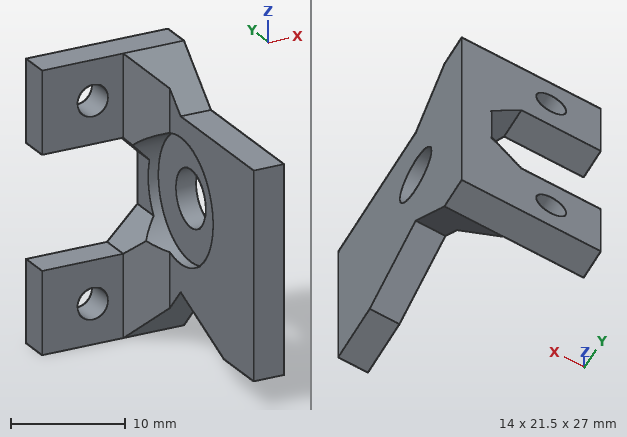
import cadquery as cq

width = 14.0
depth = 21.5
height = 27.0
thickness = 3.0
gusset = 3.0

wall_inner_x = width - thickness
plate_front_y = depth - thickness
mid_z = height / 2

axis_setback = 8.0
axis_y = depth - axis_setback
axis_z = 14.33
bore_diameter = 5.5
seat_diameter = 12.0
seat_depth = 1.0

wall_rise = 8.0
wall_drop = 12.0
notch_drop = 8.68
notch_length = 8.0
wall_top_z = axis_z + wall_rise
wall_bottom_z = axis_z - wall_drop
notch_z = axis_z - notch_drop
notch_end_y = axis_y - notch_length

opening_height = 11.0
opening_chamfer = 3.0

screw_diameter = 3.0
screw_x = 5.0
screw_spacing = 19.25


def corner_profile():
    """L-shaped plan with a gusset, extruded to the full height."""
    return (
        cq.Workplane("XY")
        .moveTo(0, depth)
        .lineTo(width, depth)
        .lineTo(width, 0)
        .lineTo(wall_inner_x, 0)
        .lineTo(wall_inner_x, plate_front_y - gusset)
        .lineTo(wall_inner_x - gusset, plate_front_y)
        .lineTo(0, plate_front_y)
        .close()
        .extrude(height)
    )


def side_outline():
    """Side silhouette: full height at the rear plate, tapering to the wall."""
    return (
        cq.Workplane("YZ")
        .moveTo(depth, 0)
        .lineTo(depth, height)
        .lineTo(plate_front_y, height)
        .lineTo(axis_y, wall_top_z)
        .lineTo(0, wall_top_z)
        .lineTo(0, wall_bottom_z)
        .lineTo(notch_end_y, wall_bottom_z)
        .lineTo(axis_y, notch_z)
        .lineTo(plate_front_y, 0)
        .close()
        .extrude(width)
    )


def lug_opening():
    """Opening between the lugs, with 45 degree corners where it meets the wall."""
    half_height = opening_height / 2
    half_inner = half_height - opening_chamfer
    shoulder_x = wall_inner_x - opening_chamfer
    return (
        cq.Workplane("XZ")
        .moveTo(0, mid_z - half_height)
        .lineTo(shoulder_x, mid_z - half_height)
        .lineTo(wall_inner_x, mid_z - half_inner)
        .lineTo(wall_inner_x, mid_z + half_inner)
        .lineTo(shoulder_x, mid_z + half_height)
        .lineTo(0, mid_z + half_height)
        .close()
        .extrude(-depth)
    )


def axis_cylinder(diameter, start_x, end_x):
    """Cylinder along X on the bearing axis."""
    return (
        cq.Workplane("YZ", origin=(start_x, axis_y, axis_z))
        .circle(diameter / 2)
        .extrude(end_x - start_x)
    )


def screw_holes():
    """Two holes along Y, one through each lug."""
    half_spacing = screw_spacing / 2
    return (
        cq.Workplane("XZ")
        .pushPoints([(screw_x, mid_z - half_spacing), (screw_x, mid_z + half_spacing)])
        .circle(screw_diameter / 2)
        .extrude(-depth)
    )


result = (
    corner_profile()
    .intersect(side_outline())
    .cut(lug_opening())
    .cut(axis_cylinder(seat_diameter, 0, wall_inner_x + seat_depth))
    .cut(axis_cylinder(bore_diameter, 0, width))
    .cut(screw_holes())
)